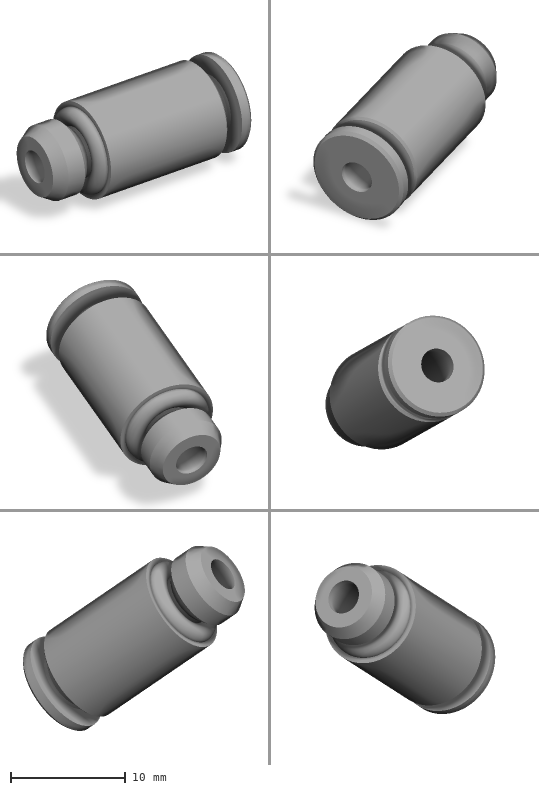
import cadquery as cq
import math

length = 20.1
outer_radius = 4.5
bore_radius = 1.5

tip_radius = 2.8
plug_radius = 3.5
tip_cone_end = 1.17
plug_end = 2.91

body_front = 4.98
ring_outer_radius = 4.02
ring_section_radius = 0.9
ring_center_radius = ring_outer_radius - ring_section_radius
ring_front = body_front - ring_section_radius

plug_neck_radius = 2.4
plug_cone_end = plug_end + plug_radius - plug_neck_radius

ring_neck_gap = ring_center_radius - plug_neck_radius
ring_neck_y = body_front - math.sqrt(ring_section_radius**2 - ring_neck_gap**2)

body_side_end = 17.3
body_bevel_end = 17.5
body_bevel_radius = 4.28
body_back = 17.75
body_back_radius = 2.71

collar_neck_radius = 2.6
collar_root_radius = 2.77
collar_root_start = 18.71
collar_front = 18.93
collar_bevel = 0.28


def fitting_body():
    """Revolve the hollow half section of the plug, ring, body and collar about Y."""
    section = (
        cq.Workplane("XY")
        .moveTo(bore_radius, 0)
        .lineTo(tip_radius, 0)
        .lineTo(plug_radius, tip_cone_end)
        .lineTo(plug_radius, plug_end)
        .lineTo(plug_neck_radius, plug_cone_end)
        .lineTo(plug_neck_radius, ring_neck_y)
        .threePointArc((ring_center_radius, ring_front), (ring_outer_radius, body_front))
        .lineTo(outer_radius, body_front)
        .lineTo(outer_radius, body_side_end)
        .lineTo(body_bevel_radius, body_bevel_end)
        .lineTo(body_back_radius, body_back)
        .lineTo(collar_neck_radius, body_back)
        .lineTo(collar_neck_radius, collar_root_start)
        .lineTo(collar_root_radius, collar_front)
        .lineTo(outer_radius, collar_front)
        .lineTo(outer_radius, length - collar_bevel)
        .lineTo(outer_radius - collar_bevel, length)
        .lineTo(bore_radius, length)
        .close()
    )
    return section.revolve(360, (0, 0, 0), (0, 1, 0))


result = fitting_body()